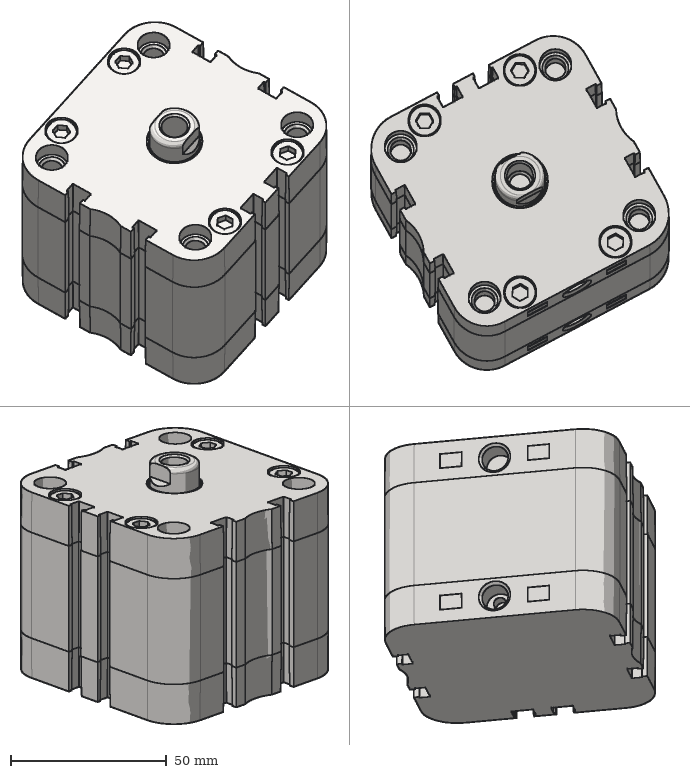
import cadquery as cq
import math

WIDTH = 77.0
CORNER_RADIUS = 12.0
BLOCK_HEIGHT = 64.0
CAP_HEIGHT = 13.8
CAP_DRAFT = 0.5
TOTAL_HEIGHT = 72.0
HALF = WIDTH / 2
BARREL_HEIGHT = BLOCK_HEIGHT - 2 * CAP_HEIGHT
UPPER_JOINT = BLOCK_HEIGHT - CAP_HEIGHT

SLOT_NECK = 5.55
SLOT_WIDTH = 6.9
SLOT_DEPTH = 5.2
Y_SLOT_LIP = 2.0
Y_SLOT_OFFSET = 12.9
X_SLOT_LIP = 1.5
X_SLOT_OFFSET = 6.55

HOLLOW_WIDTH = 12.0
HOLLOW_DEPTH = 1.4

MOUNT_OFFSET = 28.25
MOUNT_BORE_DIAMETER = 10.3
MOUNT_BORE_DEPTH = 5.0
MOUNT_MOUTH_DIAMETER = 8.4
MOUNT_DIAMETER = 6.6
MOUNT_DEPTH = 12.0

SCREW_X = 32.2
SCREW_Y = 17.4
SCREW_RECESS_DIAMETER = 10.5
SCREW_HEAD_DIAMETER = 9.8
SCREW_HEAD_SINK = 0.55
SCREW_GAP_DEPTH = 1.0
SOCKET_SIDES = 6
SOCKET_FLATS = 4.9
SOCKET_DEPTH = 2.5

PORT_FROM_END = 7.5
PORT_MOUTH_DIAMETER = 10.5
PORT_DIAMETER = 8.55
PORT_DEPTH = 8.0
PASSAGE_DIAMETER = 4.0
PASSAGE_RISE = 1.0
PASSAGE_LENGTH = 4.0

LABEL_WIDTH = 7.1
LABEL_HEIGHT = 5.0
LABEL_DEPTH = 0.2
LABEL_OFFSET = 14.4
LABEL_FROM_END = 6.9

ROD_DIAMETER = 16.0
ROD_EDGE_RADIUS = 1.6
ROD_FLATS = 13.0
ROD_FLAT_LENGTH = 5.2
ROD_RAMP_ANGLE = 45.0
ROD_MOUTH_DIAMETER = 9.8
ROD_HOLE_DIAMETER = 8.4
ROD_HOLE_END_DIAMETER = 6.6
ROD_HOLE_DEPTH = 12.0
WIPER_MOUTH_DIAMETER = 18.0
WIPER_DIAMETER = 17.7
WIPER_STEP_DIAMETER = 16.55
WIPER_LEDGE_DEPTH = 0.3
WIPER_DEPTH = 2.0


def block_outline(base_z):
    """Closed outline of the slotted block, drawn counter-clockwise from the +Y end of the -X side."""
    straight = HALF - CORNER_RADIUS
    diagonal = HALF - CORNER_RADIUS * (1 - math.sqrt(0.5))

    def slot_points(center, lip):
        """T-slot as (distance along the side, depth into the block), in order along the side."""
        neck = SLOT_NECK / 2
        body = SLOT_WIDTH / 2
        return [
            (center - neck, 0),
            (center - neck, lip),
            (center - body, lip),
            (center - body, SLOT_DEPTH),
            (center + body, SLOT_DEPTH),
            (center + body, lip),
            (center + neck, lip),
            (center + neck, 0),
        ]

    outline = cq.Workplane("XY", origin=(0, 0, base_z)).moveTo(-HALF, straight)
    outline = outline.lineTo(-HALF, -straight)
    outline = outline.threePointArc((-diagonal, -diagonal), (-straight, -HALF))
    for along, depth in slot_points(-Y_SLOT_OFFSET, Y_SLOT_LIP):
        outline = outline.lineTo(along, depth - HALF)
    outline = outline.lineTo(-HOLLOW_WIDTH / 2, -HALF)
    outline = outline.threePointArc((0, HOLLOW_DEPTH - HALF), (HOLLOW_WIDTH / 2, -HALF))
    for along, depth in slot_points(Y_SLOT_OFFSET, Y_SLOT_LIP):
        outline = outline.lineTo(along, depth - HALF)
    outline = outline.lineTo(straight, -HALF).threePointArc((diagonal, -diagonal), (HALF, -straight))
    for center in (-X_SLOT_OFFSET, X_SLOT_OFFSET):
        for along, depth in slot_points(center, X_SLOT_LIP):
            outline = outline.lineTo(HALF - depth, along)
    outline = outline.lineTo(HALF, straight).threePointArc((diagonal, diagonal), (straight, HALF))
    for along, depth in slot_points(-Y_SLOT_OFFSET, Y_SLOT_LIP):
        outline = outline.lineTo(-along, HALF - depth)
    outline = outline.lineTo(HOLLOW_WIDTH / 2, HALF)
    outline = outline.threePointArc((0, HALF - HOLLOW_DEPTH), (-HOLLOW_WIDTH / 2, HALF))
    for along, depth in slot_points(Y_SLOT_OFFSET, Y_SLOT_LIP):
        outline = outline.lineTo(-along, HALF - depth)
    outline = outline.lineTo(-straight, HALF).threePointArc((-diagonal, diagonal), (-HALF, straight))
    return outline.close()


def disc(diameter, height, top_z, x=0, y=0):
    """Upright cylinder hanging down from top_z."""
    return cq.Workplane("XY", origin=(x, y, top_z - height)).circle(diameter / 2).extrude(height)


def stepped_hole(profile, x=0, y=0):
    """Round cutter turned about a vertical axis; profile lists (diameter, z) from the top down."""
    top = profile[0][1]
    bottom = profile[-1][1]
    points = [(0, top)] + [(diameter / 2, z) for diameter, z in profile] + [(0, bottom)]
    half_section = cq.Workplane("XZ").polyline(points).close()
    return half_section.revolve(360, (0, 0, 0), (0, 1, 0)).translate((x, y, 0))


def port(z):
    """Threaded air port with a countersunk mouth, going in from the -X side."""
    chamfer = (PORT_MOUTH_DIAMETER - PORT_DIAMETER) / 2
    profile = [
        (PORT_MOUTH_DIAMETER, HALF),
        (PORT_DIAMETER, HALF - chamfer),
        (PORT_DIAMETER, HALF - PORT_DEPTH),
    ]
    return stepped_hole(profile).rotate((0, 0, 0), (0, 1, 0), -90).translate((0, 0, z))


def cut_ports_and_labels(cap, port_z, label_z):
    cap = cap.cut(port(port_z))
    label = cq.Workplane("XY").box(2 * LABEL_DEPTH, LABEL_WIDTH, LABEL_HEIGHT)
    for y in (-LABEL_OFFSET, LABEL_OFFSET):
        cap = cap.cut(label.translate((-HALF, y, label_z)))
    return cap


def make_barrel():
    return block_outline(CAP_HEIGHT).extrude(BARREL_HEIGHT)


def mounting_hole(x, y):
    """Counterbored corner hole with a countersunk mouth below the counterbore."""
    mouth_z = BLOCK_HEIGHT - MOUNT_BORE_DEPTH
    chamfer = (MOUNT_MOUTH_DIAMETER - MOUNT_DIAMETER) / 2
    profile = [
        (MOUNT_BORE_DIAMETER, BLOCK_HEIGHT),
        (MOUNT_BORE_DIAMETER, mouth_z),
        (MOUNT_MOUTH_DIAMETER, mouth_z),
        (MOUNT_DIAMETER, mouth_z - chamfer),
        (MOUNT_DIAMETER, BLOCK_HEIGHT - MOUNT_DEPTH),
    ]
    return stepped_hole(profile, x, y)


def screw_head_cutter(x, y, socket_turn):
    """Material removed around a sunken screw head and from its hexagon socket."""
    head_z = BLOCK_HEIGHT - SCREW_HEAD_SINK
    recess = disc(SCREW_RECESS_DIAMETER, SCREW_GAP_DEPTH, BLOCK_HEIGHT, x, y)
    head = disc(SCREW_HEAD_DIAMETER, SCREW_GAP_DEPTH, head_z, x, y)
    across_corners = SOCKET_FLATS / math.cos(math.pi / SOCKET_SIDES)
    socket = cq.Workplane("XY").polygon(SOCKET_SIDES, across_corners).extrude(-SOCKET_DEPTH)
    socket = socket.rotate((0, 0, 0), (0, 0, 1), socket_turn).translate((x, y, head_z))
    return recess.cut(head).union(socket)


def rod_opening():
    """Hole that fits the rod, widened at the top by the wiper ledge and groove."""
    chamfer = (WIPER_MOUTH_DIAMETER - WIPER_DIAMETER) / 2
    ledge_z = BLOCK_HEIGHT - WIPER_LEDGE_DEPTH
    groove_z = BLOCK_HEIGHT - WIPER_DEPTH
    profile = [
        (WIPER_MOUTH_DIAMETER, BLOCK_HEIGHT),
        (WIPER_DIAMETER, BLOCK_HEIGHT - chamfer),
        (WIPER_DIAMETER, ledge_z),
        (WIPER_STEP_DIAMETER, ledge_z),
        (WIPER_STEP_DIAMETER, groove_z),
        (ROD_DIAMETER, groove_z),
        (ROD_DIAMETER, UPPER_JOINT),
    ]
    return stepped_hole(profile)


def make_upper_cap():
    cap = block_outline(UPPER_JOINT).extrude(CAP_HEIGHT, taper=CAP_DRAFT)
    cap = cut_ports_and_labels(cap, BLOCK_HEIGHT - PORT_FROM_END, BLOCK_HEIGHT - LABEL_FROM_END)
    for side_x, socket_turn in ((-1, 90), (1, 0)):
        for side_y in (-1, 1):
            cap = cap.cut(mounting_hole(side_x * MOUNT_OFFSET, side_y * MOUNT_OFFSET))
            cap = cap.cut(screw_head_cutter(side_x * SCREW_X, side_y * SCREW_Y, socket_turn))
    return cap.cut(rod_opening())


def make_lower_cap():
    cap = block_outline(-CAP_HEIGHT).extrude(CAP_HEIGHT, taper=CAP_DRAFT).mirror("XY")
    cap = cut_ports_and_labels(cap, PORT_FROM_END, LABEL_FROM_END)
    passage = cq.Workplane("YZ", origin=(PORT_DEPTH - HALF, 0, PORT_FROM_END + PASSAGE_RISE))
    return cap.cut(passage.circle(PASSAGE_DIAMETER / 2).extrude(PASSAGE_LENGTH))


def make_piston_rod():
    length = TOTAL_HEIGHT - UPPER_JOINT
    rod = disc(ROD_DIAMETER, length, TOTAL_HEIGHT).faces(">Z").edges().fillet(ROD_EDGE_RADIUS)
    ramp_run = (ROD_DIAMETER - ROD_FLATS) / 2
    flat_end = TOTAL_HEIGHT - ROD_FLAT_LENGTH
    ramp_end = flat_end - ramp_run * math.tan(math.radians(ROD_RAMP_ANGLE))
    flat_section = [
        (ROD_FLATS / 2, TOTAL_HEIGHT),
        (ROD_FLATS / 2, flat_end),
        (ROD_DIAMETER / 2, ramp_end),
        (ROD_DIAMETER / 2, TOTAL_HEIGHT),
    ]
    flat = cq.Workplane("XZ").polyline(flat_section).close().extrude(ROD_DIAMETER / 2, both=True)
    rod = rod.cut(flat).cut(flat.mirror("YZ"))
    mouth_chamfer = (ROD_MOUTH_DIAMETER - ROD_HOLE_DIAMETER) / 2
    end_chamfer = (ROD_HOLE_DIAMETER - ROD_HOLE_END_DIAMETER) / 2
    hole_end = TOTAL_HEIGHT - ROD_HOLE_DEPTH
    hole_profile = [
        (ROD_MOUTH_DIAMETER, TOTAL_HEIGHT),
        (ROD_HOLE_DIAMETER, TOTAL_HEIGHT - mouth_chamfer),
        (ROD_HOLE_DIAMETER, hole_end),
        (ROD_HOLE_END_DIAMETER, hole_end - end_chamfer),
    ]
    return rod.cut(stepped_hole(hole_profile))


barrel = make_barrel()
upper_cap = make_upper_cap()
lower_cap = make_lower_cap()
piston_rod = make_piston_rod()

result = cq.Compound.makeCompound([barrel.val(), upper_cap.val(), lower_cap.val(), piston_rod.val()])